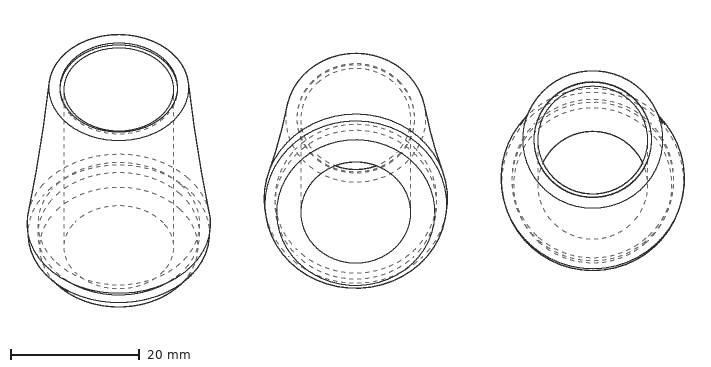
import cadquery as cq

height = 38.0
body_radius = 14.25
top_radius = 10.85

bottom_radius = 12.27
collar_radius = 14.1
collar_height = 3.2
groove_radius = 12.55
groove_width = 2.4
body_base = collar_height + groove_width

side_bow = 0.23

bore_radius = 8.5
recess_radius = 9.12
recess_depth = 0.45


def outer_body():
    """Revolve the outer outline, whose long side is a slightly concave arc."""
    side_middle = (
        (body_radius + top_radius) / 2 - side_bow,
        (body_base + height) / 2,
    )
    outline = (
        cq.Workplane("XZ")
        .moveTo(0, 0)
        .lineTo(bottom_radius, 0)
        .lineTo(collar_radius, collar_height)
        .lineTo(groove_radius, collar_height)
        .lineTo(groove_radius, body_base)
        .lineTo(body_radius, body_base)
        .threePointArc(side_middle, (top_radius, height))
        .lineTo(0, height)
        .close()
    )
    return outline.revolve(360, (0, 0), (0, 1))


def cut_bore(body):
    """Cut the through bore and its top recess."""
    return body.faces(">Z").workplane().cboreHole(2 * bore_radius, 2 * recess_radius, recess_depth)


result = cut_bore(outer_body())